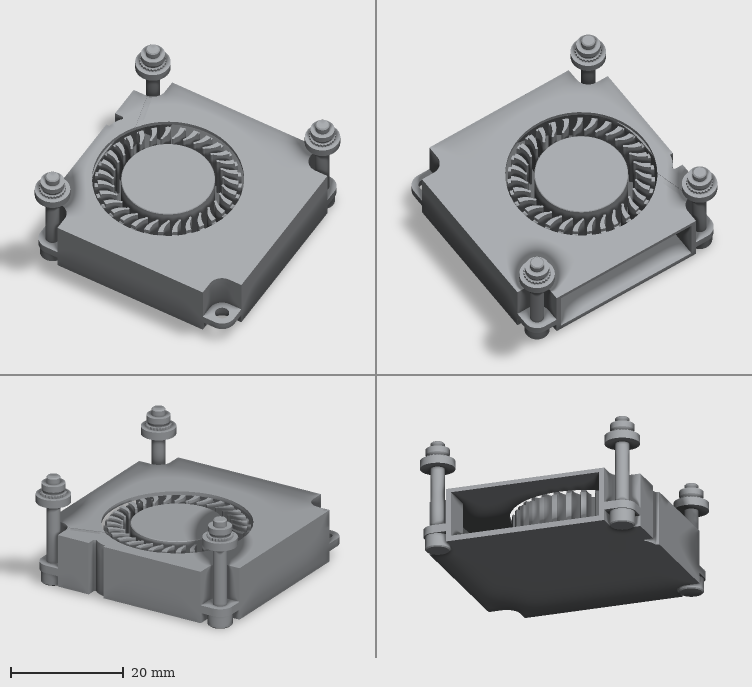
import cadquery as cq
import math

side = 39.98
height = 10.0
corner_inset = 2.5
lug_bottom = 2.0
lug_thickness = 1.5
lug_top = lug_bottom + lug_thickness
hole_diameter = 2.5
half_side = side / 2
screw_offset = half_side - corner_inset

fan_x = -4.0
inlet_diameter = 27.0
floor_thickness = 1.0
roof_thickness = 0.75
chamber_top = height - roof_thickness
chamber_left = -17.1
chamber_right = 18.0
corner_wall = 1.0
pocket_clearance = half_side - 2 * corner_inset - corner_wall

impeller_diameter = 26.2
impeller_step_diameter = 25.0
hub_diameter = 16.7
hub_edge = 0.12
base_thickness = 0.5
base_top = floor_thickness + base_thickness
blank_radius = 14.05
blank_diameter = 2 * blank_radius
gap_diameter = blank_diameter - 0.83
blade_count = 31
blade_first_angle = 11.2
blade_top = 9.8
blade_step_depth = 0.8
blade_tip_radius = 9.62
blade_shoulder_radius = 9.9
blade_middle_radius = 11.25

notch_top = 8.5
notch_bottom = 5.45

groove_depth = 0.1
groove_start_y = half_side - 2 * corner_inset
groove_end_y = 7.45

screw_diameter = 2.5
screw_length = 18.0
screw_chamfer = 0.2
head_diameter = 4.5
head_height = 2.48
head_chamfer = 0.2

flange_diameter = 6.3
flange_bottom = 15.05
flange_thickness = 1.5
flange_top = flange_bottom + flange_thickness
knurl_diameter = 4.85
knurl_root_diameter = 4.38
knurl_height = 0.5
tooth_count = 24
neck_diameter = 3.8
neck_height = 0.15
collar_diameter = 4.3
collar_taper = 0.45
collar_height = 1.07
neck_top = flange_top + knurl_height + neck_height
taper_top = neck_top + collar_taper
nut_top = taper_top + collar_height


def cylinder(diameter, bottom, top, x=0.0, y=0.0):
    return cq.Workplane("XY", origin=(x, y, bottom)).circle(diameter / 2).extrude(top - bottom)


def ring(outer_diameter, inner_diameter, bottom, top):
    return cylinder(outer_diameter, bottom, top).cut(cylinder(inner_diameter, bottom, top))


def polar(radius, degrees):
    angle = math.radians(degrees)
    return (radius * math.cos(angle), radius * math.sin(angle))


def corner_pocket(bottom, top):
    """Square pocket at the +X +Y corner, its inner corner rounded around the screw axis."""
    pocket = cq.Workplane("XY", origin=(screw_offset, screw_offset, bottom))
    pocket = pocket.rect(2 * corner_inset, 2 * corner_inset).extrude(top - bottom)
    return pocket.edges("<X").edges("<Y").fillet(corner_inset)


def make_chamber():
    """Round-ended chamber whose straight end narrows to the outlet in the +Y side."""
    middle = (chamber_left + chamber_right) / 2
    radius = (chamber_right - chamber_left) / 2
    return (
        cq.Workplane("XY", origin=(0, 0, floor_thickness))
        .moveTo(chamber_left, 0)
        .threePointArc((middle, -radius), (chamber_right, 0))
        .lineTo(chamber_right, pocket_clearance)
        .lineTo(pocket_clearance, pocket_clearance)
        .lineTo(pocket_clearance, half_side)
        .lineTo(-pocket_clearance, half_side)
        .lineTo(-pocket_clearance, pocket_clearance)
        .lineTo(chamber_left, pocket_clearance)
        .close()
        .extrude(chamber_top - floor_thickness)
    )


def make_notch():
    """Full-height notch in the -X side with one curved flank."""
    return (
        cq.Workplane("XY")
        .moveTo(-half_side, notch_top)
        .lineTo(-18.35, notch_top)
        .lineTo(-18.1, 8.15)
        .threePointArc((-18.9, 6.9), (-19.35, notch_bottom))
        .lineTo(-half_side, notch_bottom)
        .close()
        .extrude(height)
    )


def make_wire_groove():
    """Shallow slanted groove from the -X +Y corner pocket to the inlet."""
    groove = (
        cq.Workplane("XY", origin=(0, 0, height - groove_depth))
        .moveTo(-17.22, groove_start_y)
        .lineTo(-16.2, groove_start_y)
        .lineTo(-14.15, groove_end_y)
        .lineTo(-15.2, groove_end_y)
        .close()
        .extrude(groove_depth)
    )
    return groove.cut(cylinder(inlet_diameter, 0, height, fan_x))


def make_housing():
    lug_rounding = (
        cq.Workplane("XY", origin=(screw_offset, screw_offset, lug_bottom))
        .rect(corner_inset, corner_inset, centered=False)
        .extrude(lug_thickness)
        .cut(cylinder(2 * corner_inset, lug_bottom, lug_top, screw_offset, screw_offset))
    )
    corner_cuts = [
        corner_pocket(0, lug_bottom),
        corner_pocket(lug_top, height),
        lug_rounding,
        cylinder(hole_diameter, lug_bottom, lug_top, screw_offset, screw_offset),
    ]
    body = cq.Workplane("XY").rect(side, side).extrude(height)
    for quarter_turn in range(4):
        for corner_cut in corner_cuts:
            body = body.cut(corner_cut.rotate((0, 0, 0), (0, 0, 1), 90 * quarter_turn))

    body = body.cut(make_chamber())
    body = body.cut(cylinder(inlet_diameter, chamber_top, height, fan_x))
    return body.cut(make_notch()).cut(make_wire_groove())


def make_blade():
    """Swept blade along +X with a rounded inner tip, reaching past the impeller rim."""
    rim_radius = impeller_diameter / 2
    outline = (
        cq.Workplane("XY", origin=(0, 0, base_top))
        .moveTo(*polar(blank_radius, -9.6))
        .lineTo(*polar(rim_radius, -9.0))
        .threePointArc(polar(blade_middle_radius, -7.9), polar(blade_shoulder_radius, -1.9))
        .threePointArc(polar(blade_tip_radius, 0), polar(blade_shoulder_radius, 1.0))
        .threePointArc(polar(blade_middle_radius, -3.7), polar(rim_radius, -4.7))
        .lineTo(*polar(blank_radius, -5.2))
        .close()
    )
    return outline.extrude(blade_top - base_top)


def make_impeller():
    """Hub and blades on a round base, left standing when the gaps between blades are cut."""
    blade = make_blade()
    blades = []
    for i in range(blade_count):
        angle = blade_first_angle + i * 360 / blade_count
        blades.append(blade.rotate((0, 0, 0), (0, 0, 1), angle).val())
    gaps = ring(gap_diameter, hub_diameter, base_top, blade_top).val().cut(*blades)

    step_bottom = blade_top - blade_step_depth
    wheel = cylinder(impeller_diameter, floor_thickness, height)
    wheel = wheel.cut(ring(blank_diameter, hub_diameter, blade_top, height))
    wheel = wheel.cut(ring(blank_diameter, impeller_step_diameter, step_bottom, blade_top))
    wheel = wheel.faces(">Z").chamfer(hub_edge)
    wheel = wheel.cut(cq.Workplane(gaps))
    return wheel.translate((fan_x, 0, 0))


def make_screw(x, y):
    head = cylinder(head_diameter, lug_bottom - head_height, lug_bottom, x, y)
    head = head.faces("<Z").chamfer(head_chamfer)
    shank = cylinder(screw_diameter, lug_bottom, lug_bottom + screw_length, x, y)
    return head.union(shank.faces(">Z").chamfer(screw_chamfer))


def make_nut(x, y):
    """Flange, toothed knurl and a collar that tapers down to a narrow neck."""
    tooth_angle = 360 / tooth_count
    teeth = []
    for i in range(tooth_count):
        teeth.append(polar(knurl_diameter / 2, i * tooth_angle))
        teeth.append(polar(knurl_root_diameter / 2, (i + 0.5) * tooth_angle))
    knurl = cq.Workplane("XY", origin=(0, 0, flange_top)).polyline(teeth).close().extrude(knurl_height)

    collar = (
        cq.Workplane("XZ")
        .moveTo(0, flange_top)
        .lineTo(neck_diameter / 2, flange_top)
        .lineTo(neck_diameter / 2, neck_top)
        .lineTo(collar_diameter / 2, taper_top)
        .lineTo(collar_diameter / 2, nut_top)
        .lineTo(0, nut_top)
        .close()
        .revolve(360, (0, 0, 0), (0, 1, 0))
    )
    flange = cylinder(flange_diameter, flange_bottom, flange_top)
    bore = cylinder(screw_diameter, flange_bottom, nut_top)
    nut = flange.union(knurl).union(collar).cut(bore)
    return nut.translate((x, y, 0))


housing = make_housing().union(make_impeller())

screw_places = [
    (-screw_offset, -screw_offset),
    (-screw_offset, screw_offset),
    (screw_offset, screw_offset),
]
screws = [make_screw(x, y).val() for x, y in screw_places]
nuts = [make_nut(x, y).val() for x, y in screw_places]

result = cq.Compound.makeCompound([housing.val(), *screws, *nuts])